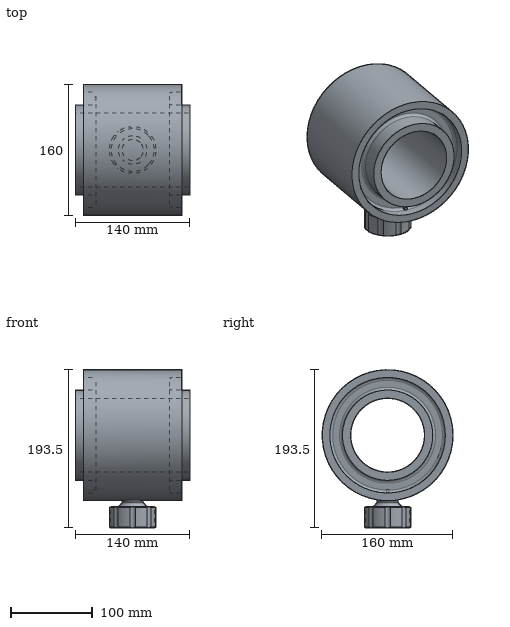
import cadquery as cq
import math

BODY_DIAMETER = 160.0
BODY_LENGTH = 120.4
RECESS_DIAMETER = 141.0
TUBE_DIAMETER = 110.3
TUBE_LENGTH = 140.0
BORE_DIAMETER = 90.0
RECESS_DEPTH = 15.5
RECESS_FILLET = 3.5

PIN_DIAMETER = 4.0
PIN_HEIGHT = 3.9
PIN_DROP = 68.1

OVERALL_HEIGHT = 193.5
NECK_RADIUS = 25.7 / 2
COLLAR_HEIGHT = 1.0
COLLAR_RADIUS = 13.4
SHOULDER_RADIUS = 17.5
SHOULDER_HEIGHT = 4.5
KNOB_RADIUS = 28.6
KNOB_HEIGHT = 26.3
RIM_WIDTH = 2.5
RIM_HEIGHT = 1.4
FLUTE_COUNT = 8
FLUTE_HALF_WIDTH = 3.5
FLUTE_DEPTH = 1.5

KNOB_BOTTOM = BODY_DIAMETER / 2 - OVERALL_HEIGHT
KNOB_TOP = KNOB_BOTTOM + KNOB_HEIGHT
RECESS_FLOOR_X = BODY_LENGTH / 2 - RECESS_DEPTH


def x_cylinder(diameter, start, length):
    return cq.Workplane("YZ").workplane(offset=start).circle(diameter / 2).extrude(length)


def end_recess(side):
    """Annular pocket at one end (side is -1 or 1), rounded around its floor."""
    pocket = (
        cq.Workplane("YZ")
        .workplane(offset=side * RECESS_FLOOR_X)
        .circle(RECESS_DIAMETER / 2)
        .circle(TUBE_DIAMETER / 2)
        .extrude(side * (TUBE_LENGTH / 2 - RECESS_FLOOR_X))
    )
    floor = "<X" if side > 0 else ">X"
    return pocket.faces(floor).edges().fillet(RECESS_FILLET)


def sleeve():
    body = x_cylinder(BODY_DIAMETER, -BODY_LENGTH / 2, BODY_LENGTH)
    body = body.union(x_cylinder(TUBE_DIAMETER, -TUBE_LENGTH / 2, TUBE_LENGTH))
    for side in (-1, 1):
        body = body.cut(end_recess(side))
    return body.cut(x_cylinder(BORE_DIAMETER, -TUBE_LENGTH / 2, TUBE_LENGTH))


def pin():
    """Short pin half sunk in the web, below the bore on the -X side."""
    stub = x_cylinder(PIN_DIAMETER, -RECESS_FLOOR_X - PIN_HEIGHT, 2 * PIN_HEIGHT)
    return stub.translate((0, 0, -PIN_DROP))


def flute():
    """Shallow round groove along the knob, cut at its +X side."""
    edge_x = math.sqrt(KNOB_RADIUS**2 - FLUTE_HALF_WIDTH**2)
    radius = (FLUTE_HALF_WIDTH**2 + FLUTE_DEPTH**2) / (2 * FLUTE_DEPTH)
    center_x = edge_x - FLUTE_DEPTH + radius
    return (
        cq.Workplane("XY")
        .workplane(offset=KNOB_BOTTOM)
        .center(center_x, 0)
        .circle(radius)
        .extrude(KNOB_HEIGHT)
    )


def knob():
    shoulder_top = KNOB_TOP + SHOULDER_HEIGHT
    neck_top = -(BODY_DIAMETER + RECESS_DIAMETER) / 4
    profile = [
        (0, KNOB_BOTTOM),
        (KNOB_RADIUS - RIM_WIDTH, KNOB_BOTTOM),
        (KNOB_RADIUS, KNOB_BOTTOM + RIM_HEIGHT),
        (KNOB_RADIUS, KNOB_TOP - RIM_HEIGHT),
        (KNOB_RADIUS - RIM_WIDTH, KNOB_TOP),
        (SHOULDER_RADIUS, KNOB_TOP),
        (COLLAR_RADIUS, shoulder_top),
        (NECK_RADIUS, shoulder_top + COLLAR_HEIGHT),
        (NECK_RADIUS, neck_top),
        (0, neck_top),
    ]
    solid = cq.Workplane("XZ").polyline(profile).close().revolve(360, (0, 0, 0), (0, 1, 0))
    for index in range(FLUTE_COUNT):
        solid = solid.cut(flute().rotate((0, 0, 0), (0, 0, 1), index * 360 / FLUTE_COUNT))
    return solid


result = sleeve().union(pin()).union(knob())